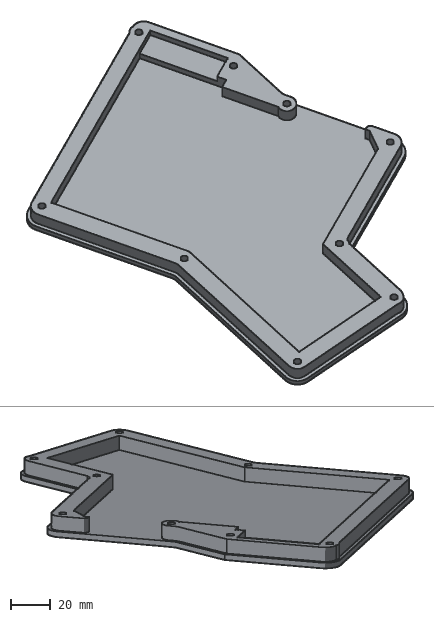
import cadquery as cq
import math

TOTAL_HEIGHT = 10.54
BASE_THICKNESS = 3.0
SHELF_HEIGHT = 3.8
RIM_HEIGHT = TOTAL_HEIGHT - BASE_THICKNESS

LEFT_HEIGHT = 140.0
MAIN_WIDTH = 159.0
BACK_EDGE_Y = 125.6
LEDGE = 2.0
CORNER_RADIUS = 8.0
BEND_RADIUS = 5.0
BACK_SLOPE_START_X = 58.7

BLOCK_ANGLE = 25.0
BLOCK_CORNER = (MAIN_WIDTH, 52.1)
BLOCK_LENGTH = 48.8
BLOCK_WIDTH = 78.55

HOLE_DIAMETER = 3.71
BOSS_RADIUS = 4.85
GAP_HOLE = (93.35, 118.9)
HOLES = [
    (6.2, 130.0),
    (BACK_SLOPE_START_X, 130.0),
    GAP_HOLE,
    (151.1, 117.9),
    (154.7, 47.7),
    (194.1, 27.6),
    (166.7, -30.3),
    (87.2, 6.6),
    (7.7, 7.8),
]

CAVITY_LEFT = 11.0
CAVITY_FRONT = 11.7
CAVITY_RIGHT = 147.3
CAVITY_BEND_Y = 43.9
CAVITY_BLOCK_LENGTH = 44.8
CAVITY_BLOCK_WIDTH = 54.4
CHAMFER_START_Y = 111.5
SHELF_FRONT = 120.3
SHELF_BACK = 133.4
SHELF_RIGHT = 54.0
STEP_X = 59.1
STEP_FRONT = 115.2

TIP_LEFT = 136.3
TIP_FRONT = 120.2
TIP_RADIUS = 2.5

COS = math.cos(math.radians(BLOCK_ANGLE))
SIN = math.sin(math.radians(BLOCK_ANGLE))
SLOPE = math.tan(math.radians(BLOCK_ANGLE))


def block_point(origin, along, across):
    """Point in the turned frame of the thumb block."""
    return (origin[0] + along * COS + across * SIN, origin[1] - along * SIN + across * COS)


def sloped_start(end, level):
    """Where the line through `end` along the block direction crosses Y = level."""
    return (end[0] - (level - end[1]) / SLOPE, level)


def prism(points, bottom, height):
    """Upright prism over a polygon."""
    return cq.Workplane("XY").workplane(offset=bottom).polyline(points).close().extrude(height)


def discs(centers, radius, bottom, height):
    """Upright cylinders of one size at the given centers."""
    return cq.Workplane("XY").workplane(offset=bottom).pushPoints(centers).circle(radius).extrude(height)


def round_corner(body, corner, radius):
    """Fillet the upright edge of a body that stands at the plan point `corner`."""
    upright = cq.selectors.NearestToPointSelector((*corner, body.val().Center().z))
    return body.edges("|Z").edges(upright).fillet(radius)


def outer_body(inset, bottom, height):
    """Solid over the whole plan outline, moved inward by `inset`."""
    tangent_shift = inset * math.tan(math.radians(BLOCK_ANGLE / 2))
    block_corner = (BLOCK_CORNER[0] - inset, BLOCK_CORNER[1] - inset * (1 - SIN) / COS)
    block_length = BLOCK_LENGTH - inset
    right_back = block_point(BLOCK_CORNER, block_length, -inset)
    right_front = block_point(BLOCK_CORNER, block_length, inset - BLOCK_WIDTH)
    front_bend = sloped_start(right_front, inset)
    top = LEFT_HEIGHT - inset
    slope_start = (BACK_SLOPE_START_X - tangent_shift, top)
    gap_left_y = GAP_HOLE[1] + BOSS_RADIUS + LEDGE - inset
    slope_end = (slope_start[0] + (top - gap_left_y) / SLOPE, gap_left_y)
    back_left = (inset, top)
    back_right = (MAIN_WIDTH - inset, BACK_EDGE_Y - inset)
    front_left = (inset, inset)
    outline = [
        front_left,
        front_bend,
        right_front,
        right_back,
        block_corner,
        back_right,
        (GAP_HOLE[0], BACK_EDGE_Y - inset),
        (GAP_HOLE[0], gap_left_y),
        slope_end,
        slope_start,
        back_left,
    ]
    body = prism(outline, bottom, height)
    for corner in (front_left, right_front, right_back, back_right, back_left):
        body = round_corner(body, corner, CORNER_RADIUS - inset)
    for bend in (front_bend, slope_end):
        body = round_corner(body, bend, BEND_RADIUS + inset)
    return body


def base_plate():
    """Flat floor plate with a rounded corner behind the boss on the left of the gap."""
    gap_corner = discs([GAP_HOLE], BOSS_RADIUS + LEDGE, 0, BASE_THICKNESS)
    return outer_body(0, 0, BASE_THICKNESS).union(gap_corner)


def cavity():
    """Space inside the rim, open through the gap in the back wall."""
    bend = (CAVITY_RIGHT, CAVITY_BEND_Y)
    block_front = block_point(bend, CAVITY_BLOCK_LENGTH, -CAVITY_BLOCK_WIDTH)
    chamfer_run = TIP_FRONT - CHAMFER_START_Y
    outline = [
        (CAVITY_LEFT, CAVITY_FRONT),
        sloped_start(block_front, CAVITY_FRONT),
        block_front,
        block_point(bend, CAVITY_BLOCK_LENGTH, 0),
        bend,
        (CAVITY_RIGHT, CHAMFER_START_Y),
        (CAVITY_RIGHT - chamfer_run, TIP_FRONT),
        (TIP_LEFT, TIP_FRONT),
        (TIP_LEFT, LEFT_HEIGHT),
        (GAP_HOLE[0], LEFT_HEIGHT),
        (GAP_HOLE[0], STEP_FRONT),
        (STEP_X, STEP_FRONT),
        (STEP_X, SHELF_FRONT),
        (CAVITY_LEFT, SHELF_FRONT),
    ]
    return prism(outline, BASE_THICKNESS, RIM_HEIGHT)


def shelf_pocket():
    """Space above the raised shelf in the back left corner."""
    width = SHELF_RIGHT - CAVITY_LEFT
    depth = SHELF_BACK - SHELF_FRONT
    space = cq.Workplane("XY").box(width, depth, RIM_HEIGHT - SHELF_HEIGHT, centered=False)
    return space.translate((CAVITY_LEFT, SHELF_FRONT, BASE_THICKNESS + SHELF_HEIGHT))


def rim():
    """Wall with screw bosses, standing on the base plate."""
    wall = outer_body(LEDGE, BASE_THICKNESS, RIM_HEIGHT).cut(cavity()).cut(shelf_pocket())
    wall = round_corner(wall, (TIP_LEFT, BACK_EDGE_Y - LEDGE), TIP_RADIUS)
    return wall.union(discs(HOLES, BOSS_RADIUS, BASE_THICKNESS, RIM_HEIGHT))


screw_holes = discs(HOLES, HOLE_DIAMETER / 2, 0, TOTAL_HEIGHT)
result = base_plate().union(rim()).cut(screw_holes)